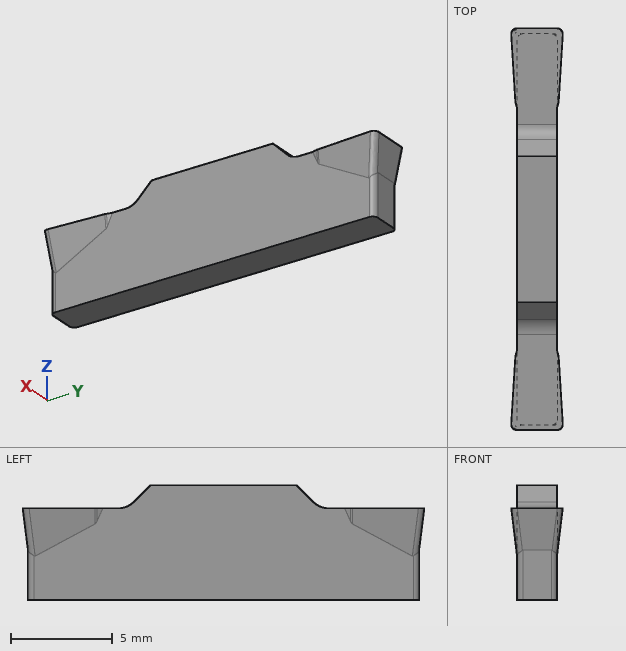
import cadquery as cq
import math


overall_length = 19.77
overall_height = 5.65
head_width = 2.55
shank_width = 1.98
shank_length = 19.25

shoulder_height = 4.53
plateau_length = 7.2
ramp_angle = 45.0
ramp_radius = 1.05

corner_radius = 0.3
end_relief_angle = 7.2
side_relief_angle = 6.5
side_taper_angle = 3.5
knee_distance = 3.6
runout_angle = 14.0
knee_radius = 0.5
head_depth = 2.77
head_reach = 4.95


def slope(angle):
    return math.tan(math.radians(angle))


def make_shank():
    half_length = shank_length / 2
    half_plateau = plateau_length / 2
    ramp_foot = half_plateau + (overall_height - shoulder_height) / slope(ramp_angle)
    profile = [
        (-half_length, 0),
        (half_length, 0),
        (half_length, shoulder_height),
        (ramp_foot, shoulder_height),
        (half_plateau, overall_height),
        (-half_plateau, overall_height),
        (-ramp_foot, shoulder_height),
        (-half_length, shoulder_height),
    ]
    shank = cq.Workplane("YZ").polyline(profile).close().extrude(shank_width / 2, both=True)
    shank = shank.edges("|Z").fillet(corner_radius)
    for y in (-ramp_foot, ramp_foot):
        foot_edge = cq.selectors.NearestToPointSelector((0, y, shoulder_height))
        shank = shank.edges(foot_edge).fillet(ramp_radius)
    return shank


def head_outline(depth):
    """Symmetric outline of the +Y head at a depth below the cutting edge."""
    end_y = overall_length / 2 - depth * slope(end_relief_angle)
    knee_y = overall_length / 2 - knee_distance
    back_y = overall_length / 2 - head_reach
    sharp_half_width = head_width / 2 + corner_radius * slope(side_taper_angle)
    knee_half_width = sharp_half_width - knee_distance * slope(side_taper_angle)
    knee_x = knee_half_width - depth * slope(side_relief_angle)
    end_x = knee_x + (end_y - knee_y) * slope(side_taper_angle)
    back_x = knee_x - (knee_y - back_y) * slope(runout_angle)
    right_side = [(back_x, back_y), (knee_x, knee_y), (end_x, end_y)]
    left_side = [(-x, y) for x, y in reversed(right_side)]
    return right_side + left_side


def make_head():
    head = (
        cq.Workplane("XY", origin=(0, 0, shoulder_height - head_depth))
        .polyline(head_outline(head_depth)).close()
        .workplane(offset=head_depth)
        .polyline(head_outline(0)).close()
        .loft(ruled=True)
    )
    _, knee, corner = head_outline(head_depth / 2)[:3]
    mid_height = shoulder_height - head_depth / 2
    for (x, y), radius in ((knee, knee_radius), (corner, corner_radius)):
        for side in (-1, 1):
            edge = cq.selectors.NearestToPointSelector((side * x, y, mid_height))
            head = head.edges(edge).fillet(radius)
    return head


head = make_head()
result = make_shank().union(head).union(head.mirror("XZ"))